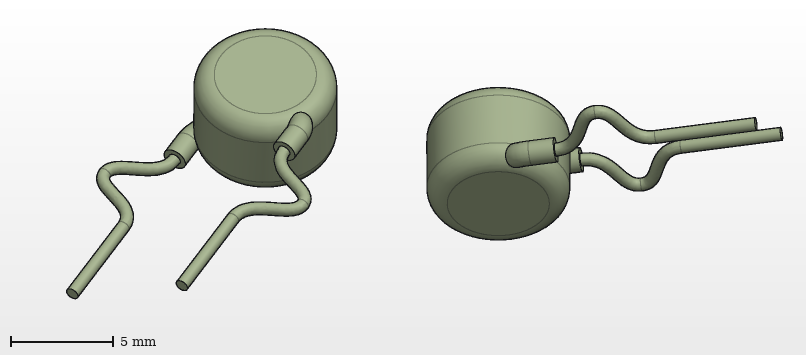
import cadquery as cq
import math

disc_diameter = 7.0
disc_height = 5.0
rim_radius = 1.0

sleeve_diameter = 1.2
sleeve_length = 1.25
sleeve_bend_radius = 1.0
sleeve_bend_slope = 35
lead_spacing_x = 6.19
lead_spacing_z = 4.25

lead_diameter = 0.65
kink_reach = 2.5
kink_length = 5.0
straight_length = 5.0
kink_base_pull = 1.6
kink_peak_pull = 1.1

lead_x = lead_spacing_x / 2
lead_z = lead_spacing_z / 2
sleeve_end_y = -disc_diameter / 2
sleeve_start_y = sleeve_end_y + sleeve_length
kink_peak_y = sleeve_end_y - kink_length / 2
kink_end_y = sleeve_end_y - kink_length
lead_end_y = kink_end_y - straight_length


def make_disc():
    """Flat cylinder with rounded top and bottom rims."""
    disc = cq.Workplane("XY", origin=(0, 0, -disc_height / 2)).circle(disc_diameter / 2).extrude(disc_height)
    return disc.faces("|Z").edges().fillet(rim_radius)


def make_sleeve():
    """Straight tube for the upper lead, bent inward and downward into the disc."""
    straight = (
        cq.Workplane("XZ", origin=(lead_x, sleeve_start_y, lead_z))
        .circle(sleeve_diameter / 2)
        .extrude(sleeve_length)
    )
    slope = math.radians(sleeve_bend_slope)
    inward = cq.Vector(-math.cos(slope), 0, -math.sin(slope))
    backward = cq.Vector(0, 1, 0)
    bend_plane = cq.Plane(
        origin=(lead_x, sleeve_start_y, lead_z),
        xDir=inward,
        normal=inward.cross(backward),
    )
    bend_path = cq.Workplane(bend_plane).radiusArc(
        (sleeve_bend_radius, sleeve_bend_radius), sleeve_bend_radius
    )
    bend = (
        cq.Workplane("XZ", origin=(lead_x, sleeve_start_y, lead_z))
        .circle(sleeve_diameter / 2)
        .sweep(bend_path)
    )
    return straight.union(bend)


def opposite(body):
    """The same shape for the lower lead, half a turn about the Y axis."""
    return body.rotate((0, 0, 0), (0, 1, 0), 180)


def make_housing():
    """Coated disc together with both sleeves."""
    sleeve = make_sleeve()
    return make_disc().union(sleeve).union(opposite(sleeve))


def make_lead():
    """Round wire with an outward kink followed by a straight end."""
    peak_x = lead_x + kink_reach
    path = (
        cq.Workplane("XY", origin=(0, 0, lead_z))
        .moveTo(lead_x, sleeve_end_y)
        .bezier(
            [
                (lead_x, sleeve_end_y),
                (lead_x, sleeve_end_y - kink_base_pull),
                (peak_x, kink_peak_y + kink_peak_pull),
                (peak_x, kink_peak_y),
            ]
        )
        .bezier(
            [
                (peak_x, kink_peak_y),
                (peak_x, kink_peak_y - kink_peak_pull),
                (lead_x, kink_end_y + kink_base_pull),
                (lead_x, kink_end_y),
            ]
        )
        .lineTo(lead_x, lead_end_y)
    )
    return (
        cq.Workplane("XZ", origin=(lead_x, sleeve_end_y, lead_z))
        .circle(lead_diameter / 2)
        .sweep(path)
    )


housing = make_housing()
upper_lead = make_lead()
leads = [upper_lead, opposite(upper_lead)]

result = cq.Compound.makeCompound([housing.val(), *[lead.val() for lead in leads]])